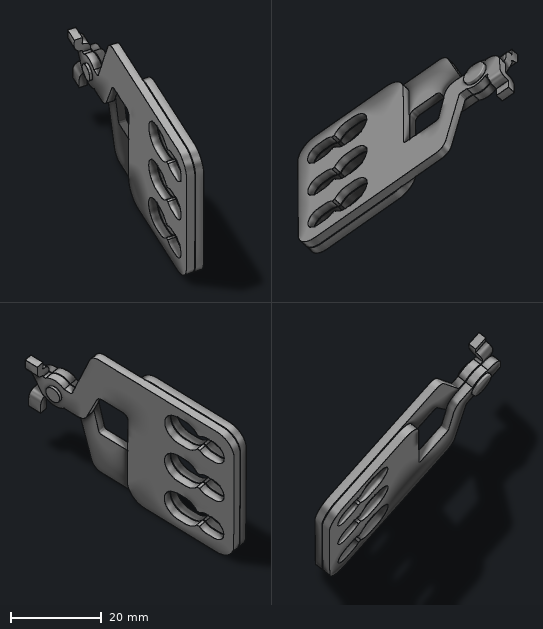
import cadquery as cq
import math


sheet = 2.0
jaw_gap = 0.2
front_jaw_back = -jaw_gap / 2
front_jaw_front = front_jaw_back - sheet
rear_jaw_front = jaw_gap / 2
rear_jaw_back = rear_jaw_front + sheet
stack_depth = 2 * sheet + jaw_gap

tip_x = -6.95
body_left = 21.1
body_right = 51.8
body_height = 38.0
body_top = body_height / 2
arm_half_width = 3.0
hub_radius = 4.0
neck_x = 4.8
window_left = 8.55
window_height = 6.95
body_corner = 5.0
leg_corner = 3.0
tip_corner = 1.0
front_window_corner = 1.5
rear_window_corner = 0.8
neck_corner = 0.6

front_leg_outer = 0.36
front_leg_inner = 0.4
rear_leg_outer = 0.29
rear_leg_inner = 0.25

tip_land = 2.35
bevel_end = -3.3
rear_tip_radius = 3.95

tab_width = 3.55
web_start = 3.5
front_tab_end = 7.55
rear_tab_end = 8.0
front_tab_offset = sheet
rear_tab_offset = 2.95
front_web_rise = 0.3
rear_web_rise = 0
root_inner_bend = 0.35
tab_outer_bend = 1.95
root_outer_bend = 1.75

rivet_radius = 2.0
rivet_tail = 0.7
head_radius = 3.0
head_height = 0.8
head_round = 0.25

hole_pitch = 12.0
large_radius = 4.05
large_centers = (35.8, 37.7)
small_radius = 3.0
small_centers = (44.0, 45.95)
neck_height = 4.3

tilt = 0.3


def rounded_outline(plane, corners):
    """Close an outline through (u, v, radius) corners; a zero radius leaves a sharp corner."""
    path = None
    for i, (u, v, radius) in enumerate(corners):
        corner = cq.Vector(u, v)
        to_previous = (cq.Vector(*corners[i - 1][:2]) - corner).normalized()
        to_next = (cq.Vector(*corners[(i + 1) % len(corners)][:2]) - corner).normalized()
        half_angle = to_previous.getAngle(to_next) / 2
        setback = radius / math.tan(half_angle)
        start = corner + to_previous * setback
        path = plane.moveTo(start.x, start.y) if path is None else path.lineTo(start.x, start.y)
        if radius > 0:
            bisector = (to_previous + to_next).normalized()
            middle = corner + bisector * (radius / math.sin(half_angle) - radius)
            end = corner + to_next * setback
            path = path.threePointArc((middle.x, middle.y), (end.x, end.y))
    return path.close()


def jaw(back_y, side, outer_lean, inner_lean, window_corner, tip_corners):
    """Flat jaw whose leg rises towards +Z (side = 1) or drops towards -Z (side = -1)."""
    outer_foot = neck_x + outer_lean * (body_top - arm_half_width)
    window_far = window_left + inner_lean * (window_height + arm_half_width)
    corners = tip_corners + [
        (neck_x, arm_half_width, neck_corner),
        (outer_foot, body_top, leg_corner),
        (body_right, body_top, body_corner),
        (body_right, -body_top, body_corner),
        (body_left, -body_top, body_corner),
        (body_left, window_height, window_corner),
        (window_far, window_height, window_corner),
        (window_left, -arm_half_width, leg_corner),
    ]
    plane = cq.Workplane("XZ", origin=(0, back_y, 0))
    outline = [(x, side * z, radius) for x, z, radius in corners]
    hub = plane.circle(hub_radius).extrude(sheet)
    return rounded_outline(plane, outline).extrude(sheet).union(hub)


def bent_tab(front_y, side, offset, end, web_rise):
    """Strip at the arm tip that steps forward by offset and then carries on along Z."""
    web_end = web_start + sheet
    back_y = front_y + sheet
    corners = [
        (back_y, arm_half_width, 0),
        (back_y, web_end, root_outer_bend),
        (back_y - offset, web_end, 0),
        (back_y - offset, end, 0),
        (front_y - offset, end, 0),
        (front_y - offset, web_start + web_rise, tab_outer_bend),
        (front_y, web_start, root_inner_bend),
        (front_y, arm_half_width, 0),
    ]
    plane = cq.Workplane("YZ", origin=(tip_x, 0, 0))
    profile = [(y, side * z, radius) for y, z, radius in corners]
    return rounded_outline(plane, profile).extrude(tab_width)


def slot(centers, radius, z):
    """Cutter with round ends about two centres, through both jaws."""
    length = centers[1] - centers[0] + 2 * radius
    middle = sum(centers) / 2
    plane = cq.Workplane("XZ", origin=(middle, rear_jaw_back, z))
    return plane.slot2D(length, 2 * radius).extrude(stack_depth)


def padlock_hole(z):
    """Large and small slots joined by a narrow flat-sided neck."""
    neck_left = large_centers[1]
    neck_right = small_centers[0]
    plane = cq.Workplane("XZ", origin=((neck_left + neck_right) / 2, rear_jaw_back, z))
    neck = plane.rect(neck_right - neck_left, neck_height).extrude(stack_depth)
    large_slot = slot(large_centers, large_radius, z)
    small_slot = slot(small_centers, small_radius, z)
    return large_slot.union(small_slot).union(neck)


front_tip = [
    (bevel_end, -arm_half_width, tip_corner),
    (tip_x, tip_land, tip_corner),
    (tip_x, arm_half_width, 0),
]
front_jaw = jaw(front_jaw_back, 1, front_leg_outer, front_leg_inner, front_window_corner, front_tip)
front_tab = bent_tab(front_jaw_front, 1, front_tab_offset, front_tab_end, front_web_rise)

rear_tip = [
    (tip_x, -arm_half_width, rear_tip_radius),
    (tip_x, arm_half_width, 0),
]
rear_jaw = jaw(rear_jaw_back, -1, rear_leg_outer, rear_leg_inner, rear_window_corner, rear_tip)
rear_tab = bent_tab(rear_jaw_front, -1, rear_tab_offset, rear_tab_end, rear_web_rise)

shank_length = stack_depth + rivet_tail
rivet_plane = cq.Workplane("XZ", origin=(0, rear_jaw_back, 0))
rivet = rivet_plane.circle(rivet_radius).extrude(shank_length)
head = rivet_plane.circle(head_radius).extrude(-head_height)
head = head.faces(">Y").edges().fillet(head_round)

hasp = front_jaw.union(front_tab).union(rear_jaw).union(rear_tab).union(rivet).union(head)
for row in (-1, 0, 1):
    hasp = hasp.cut(padlock_hole(row * hole_pitch))

result = hasp.rotate((0, 0, 0), (0, 1, 0), tilt)